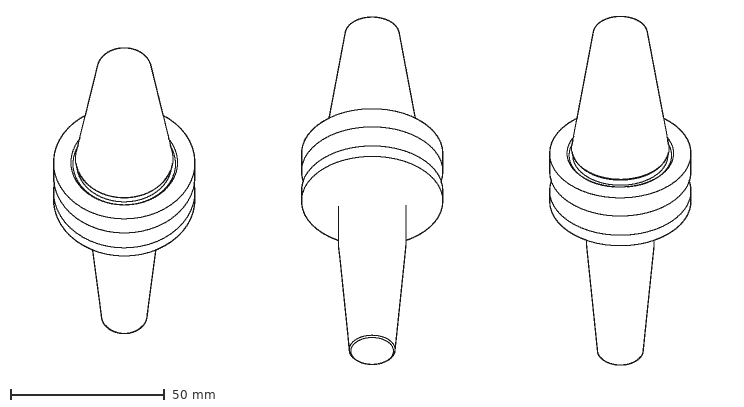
import cadquery as cq
import math

total_length = 133.4
gauge_height = 85.0
gauge_radius = 15.9
taper_ratio = 7 / 24
top_round = 0.5

neck_radius = 15.5
neck_gap = 0.7
face_groove_radius = 17.3
face_groove_floor_radius = 16.7
face_groove_depth = 0.8

flange_radius = 23.01
flange_top = 83.0
flange_bottom = 63.0
groove_center = 71.4
groove_floor_radius = 19.1
groove_mouth_width = 8.0
groove_wall_angle = 30.0
groove_corner_round = 1.0

nose_radius = 11.0
nose_root_fillet = 2.0
nose_taper_start = 44.4
nose_tip_radius = 7.5
nose_tip_chamfer = 0.5

top_radius = gauge_radius - (total_length - gauge_height) * taper_ratio / 2
mouth_top = groove_center + groove_mouth_width / 2
mouth_bottom = groove_center - groove_mouth_width / 2
wall_rise = (flange_radius - groove_floor_radius) * math.tan(math.radians(groove_wall_angle))
floor_top = mouth_top - wall_rise
floor_bottom = mouth_bottom + wall_rise
neck_top = gauge_height - neck_gap
face_groove_floor = flange_top - face_groove_depth


def half_profile():
    """Radius and height outline, closed along the axis."""
    return (
        cq.Workplane("XZ")
        .moveTo(0, 0)
        .lineTo(nose_tip_radius - nose_tip_chamfer, 0)
        .lineTo(nose_tip_radius, nose_tip_chamfer)
        .lineTo(nose_radius, nose_taper_start)
        .lineTo(nose_radius, flange_bottom - nose_root_fillet)
        .radiusArc((nose_radius + nose_root_fillet, flange_bottom), nose_root_fillet)
        .lineTo(flange_radius, flange_bottom)
        .lineTo(flange_radius, mouth_bottom)
        .lineTo(groove_floor_radius, floor_bottom)
        .lineTo(groove_floor_radius, floor_top)
        .lineTo(flange_radius, mouth_top)
        .lineTo(flange_radius, flange_top)
        .lineTo(face_groove_radius, flange_top)
        .lineTo(face_groove_floor_radius, face_groove_floor)
        .lineTo(neck_radius, face_groove_floor)
        .lineTo(neck_radius, neck_top)
        .lineTo(gauge_radius, gauge_height)
        .lineTo(top_radius, total_length)
        .lineTo(0, total_length)
        .close()
    )


def circular_edges_at(body, height):
    """Select the circular edges lying at one height."""
    margin = 0.01
    reach = 2 * flange_radius
    return body.edges(
        cq.selectors.BoxSelector(
            (-reach, -reach, height - margin), (reach, reach, height + margin)
        )
    ).edges("%CIRCLE")


body = half_profile().revolve(360, (0, 0, 0), (0, 1, 0))

for corner_height in (floor_bottom, floor_top):
    body = circular_edges_at(body, corner_height).fillet(groove_corner_round)

result = body.faces(">Z").edges().fillet(top_round)